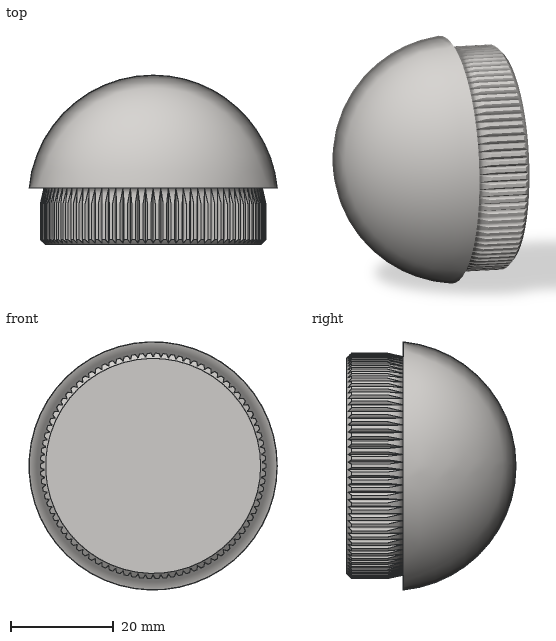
import cadquery as cq
import math

dome_radius = 24.15
dome_height = 22.0
plug_length = 11.0
plug_radius = 21.95
neck_radius = 21.25
neck_length = 3.05
end_chamfer = 1.0

groove_count = 90
groove_angle = 65.0
groove_root_radius = neck_radius
groove_overshoot = 0.5


def make_dome():
    """Spherical cap whose flat rim forms the flange."""
    sphere_radius = (dome_radius**2 + dome_height**2) / (2 * dome_height)
    half_sweep = math.asin(dome_radius / sphere_radius) / 2
    sphere_centre = dome_height - sphere_radius
    arc_middle = (
        sphere_radius * math.sin(half_sweep),
        sphere_centre + sphere_radius * math.cos(half_sweep),
    )
    return (
        cq.Workplane("XY")
        .lineTo(dome_radius, 0)
        .threePointArc(arc_middle, (0, dome_height))
        .close()
        .revolve(360, (0, 0), (0, 1))
    )


def make_plug():
    """Plug that narrows towards the flange and is chamfered at its free end."""
    return (
        cq.Workplane("XY")
        .lineTo(neck_radius, 0)
        .lineTo(plug_radius, -neck_length)
        .lineTo(plug_radius, -plug_length + end_chamfer)
        .lineTo(plug_radius - end_chamfer, -plug_length)
        .lineTo(0, -plug_length)
        .close()
        .revolve(360, (0, 0), (0, 1))
    )


def make_grooves():
    """Ring of V-shaped cutters running along the full plug, the first one at +Z."""
    outer_radius = plug_radius + groove_overshoot
    half_width = (outer_radius - groove_root_radius) * math.tan(math.radians(groove_angle / 2))
    cutter = (
        cq.Workplane("XZ")
        .moveTo(0, groove_root_radius)
        .lineTo(half_width, outer_radius)
        .lineTo(-half_width, outer_radius)
        .close()
        .extrude(plug_length + groove_overshoot)
    )
    grooves = cq.Workplane("XY")
    for index in range(groove_count):
        grooves = grooves.add(cutter.rotate((0, 0, 0), (0, 1, 0), index * 360 / groove_count))
    return cq.Workplane(cq.Compound.makeCompound(grooves.vals()))


knurled_plug = make_plug().cut(make_grooves())
result = make_dome().union(knurled_plug)